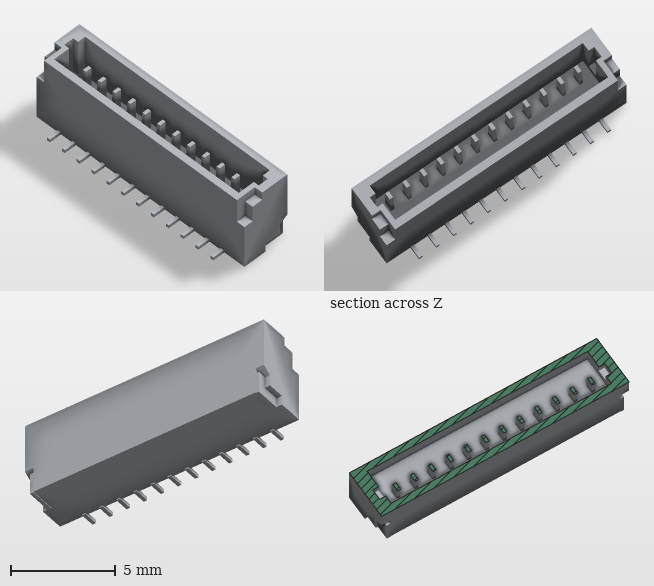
import cadquery as cq

pin_count = 12
pitch = 1.0
housing_length = 14.0
housing_depth = 2.9
overall_height = 4.32
housing_standoff = 0.07
end_x = housing_length / 2
back_y = housing_depth / 2
front_y = -housing_depth / 2

end_wall = 0.78
long_wall = 0.4
cavity_depth = 2.7
key_slot_wall = 0.45
key_slot_width = 0.6
key_slot_from_back = 0.88
key_slot_floor_z = 2.0
cavity_floor_z = overall_height - cavity_depth

notch_length = 0.5
shallow_notch_depth = 1.2
shallow_notch_height = 0.5
deep_notch_depth = 0.55
deep_notch_height = 1.5

tab_recess = 0.3
tab_thickness = 0.2
tab_foot_length = 1.48
tab_foot_top_z = 0.6
tab_post_length = 0.5
tab_top_z = 1.24
tab_bottom_z = 0.03
pocket_back_z = 1.54

contact_width = 0.2
lead_thickness = 0.2
lead_reach = 0.7
lead_inset = 0.15
pin_back_gap = 0.8
pin_depth = 0.5
pin_top_z = 3.07
pin_taper = 0.13


def box(x_range, y_range, z_range):
    """Box spanning the given (low, high) ranges."""
    sizes = [high - low for low, high in (x_range, y_range, z_range)]
    corner = (x_range[0], y_range[0], z_range[0])
    return cq.Workplane("XY").box(*sizes, centered=False).translate(corner)


def side_prism(points, x_start, thickness):
    """Prism along +X with its outline given as (Y, Z) points."""
    return cq.Workplane("YZ", origin=(x_start, 0, 0)).polyline(points).close().extrude(thickness)


def both_ends(left_shape):
    """The left-end shape together with its mirror image at the right end."""
    return left_shape.union(left_shape.mirror("YZ"))


def make_housing():
    return box((-end_x, end_x), (front_y, back_y), (housing_standoff, overall_height))


def make_cavity():
    cavity_x = end_x - end_wall
    slot_x = end_x - key_slot_wall
    slot_back_y = back_y - key_slot_from_back
    cavity_z_range = (cavity_floor_z, overall_height)
    cavity = box((-cavity_x, cavity_x), (front_y + long_wall, back_y - long_wall), cavity_z_range)
    slot_z_range = (key_slot_floor_z, overall_height)
    key_slots = box((-slot_x, slot_x), (slot_back_y - key_slot_width, slot_back_y), slot_z_range)
    return cavity.union(key_slots)


def make_corner_notches():
    outline = [
        (front_y, overall_height),
        (front_y + shallow_notch_depth, overall_height),
        (front_y + shallow_notch_depth, overall_height - shallow_notch_height),
        (front_y + deep_notch_depth, overall_height - shallow_notch_height),
        (front_y + deep_notch_depth, overall_height - deep_notch_height),
        (front_y, overall_height - deep_notch_height),
    ]
    return both_ends(side_prism(outline, -end_x, notch_length))


def tab_outline(bottom_z, back_top_z):
    """L-shaped outline of a tab or its pocket; back_top_z is its height at the back face."""
    return [
        (back_y, bottom_z),
        (back_y - tab_foot_length, bottom_z),
        (back_y - tab_foot_length, tab_foot_top_z),
        (back_y - tab_post_length, tab_foot_top_z),
        (back_y - tab_post_length, tab_top_z),
        (back_y, back_top_z),
    ]


def make_tab_pockets():
    outline = tab_outline(housing_standoff, pocket_back_z)
    return both_ends(side_prism(outline, -end_x, tab_recess + tab_thickness))


def make_solder_tabs():
    outline = tab_outline(tab_bottom_z, tab_top_z)
    return both_ends(side_prism(outline, -end_x + tab_recess, tab_thickness))


def make_lead(x_start):
    y_range = (front_y - lead_reach, front_y + lead_inset)
    return box((x_start, x_start + contact_width), y_range, (0, lead_thickness))


def make_pin(x_start):
    pin_back_y = back_y - pin_back_gap
    pin_front_y = pin_back_y - pin_depth
    outline = [
        (pin_back_y, cavity_floor_z),
        (pin_back_y, pin_top_z),
        (pin_front_y + pin_taper, pin_top_z),
        (pin_front_y, cavity_floor_z),
    ]
    return side_prism(outline, x_start, contact_width)


result = make_housing().cut(make_cavity()).cut(make_corner_notches()).cut(make_tab_pockets())
result = result.union(make_solder_tabs())
for index in range(pin_count):
    contact_x = (index - (pin_count - 1) / 2) * pitch
    contact_start = contact_x - contact_width / 2
    result = result.union(make_lead(contact_start)).union(make_pin(contact_start))